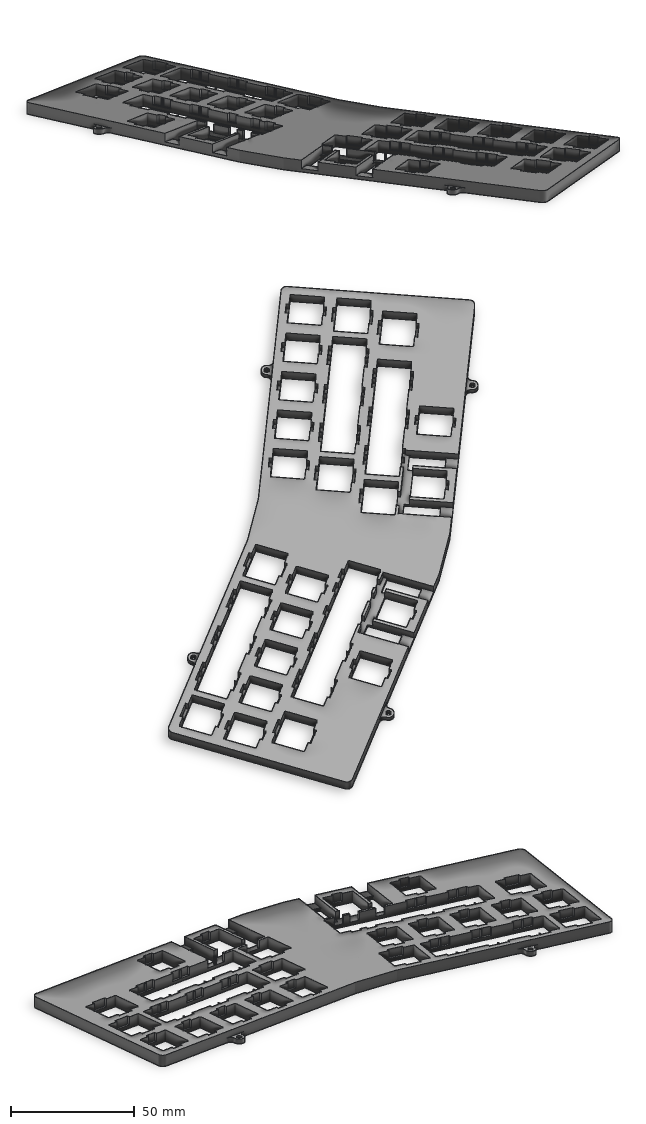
import cadquery as cq
import math

overall_length = 240.8
bend_angle = 14.0
thickness = 5.0
wing_width = 78.7
left_length = 119.7
bend_setback = 10.4
corner_radius = 2.5

key_pitch = 19.0
key_opening = 14.0
edge_to_key = 10.8

floor_height = 1.5
notch_width = 4.3
notch_depth = 1.2
opening_radius = 0.5

stabilizer_offset = 12.0
stabilizer_width = 7.2
slot_front = 5.0
slot_rear = 20.0

tab_radius = 2.29
tab_reach = 2.5
tab_height = 2.2
tab_flare = 2.2
tab_overlap = 2.5
tab_hole_diameter = 2.2
edge_to_tab = 39.7

left_rows = [
    [[0, 0.125], [1, 1.25, 2, 2.25, 3, 3.25], [4.125, 4.25]],
    [[0], [1], [2], [3], [4]],
    [[0.25, 0.375], [1.5, 1.75, 2.5, 2.75, 3.5, 4.125, 4.5]],
    [[2.375], [4]],
]
right_rows = [
    [[0], [1], [2], [3], [4]],
    [[0, 0.125], [1, 1.25, 2, 2.25, 3, 3.25], [4.125, 4.25]],
    [[0.25, 0.375], [1.5, 1.75, 2.5, 2.75, 3.5, 3.75], [4.625, 4.75]],
    [[2.625], [4.25]],
]
left_stabilized_key = 4
right_stabilized_key = 4.25

bend = math.radians(bend_angle)
bend_slope = math.tan(bend / 2)
right_corner_reach = overall_length - left_length - corner_radius
right_length = (right_corner_reach + corner_radius * math.sin(bend)) / math.cos(bend) + corner_radius
rear_row_place = wing_width / 2 + 1.5 * key_pitch
front_row_place = wing_width / 2 - 1.5 * key_pitch
recess_half_width = stabilizer_offset + stabilizer_width / 2
recess_rear = front_row_place + key_pitch - key_opening / 2 - notch_depth
block_half_width = stabilizer_offset - stabilizer_width / 2


def box(x_min, x_max, y_min, y_max, z_min=0.0):
    """Block between the given limits, reaching up to the top face."""
    size = (x_max - x_min, y_max - y_min, thickness - z_min)
    return cq.Workplane("XY").box(*size, centered=False).translate((x_min, y_min, z_min))


def to_right_wing(shape):
    """Move a shape from right-wing coordinates, with the bend at the origin, onto the wing."""
    return shape.rotate((0, 0, 0), (0, 0, 1), bend_angle).translate((left_length, 0, 0))


def rounded_opening(x_min, x_max, y_min, y_max):
    """Through cutter with rounded upright corners."""
    return box(x_min, x_max, y_min, y_max).edges("|Z").fillet(opening_radius)


def along_right_wing(start, distance):
    """Point at the given distance from start, parallel to the edges of the right wing."""
    return (start[0] + distance * math.cos(bend), start[1] + distance * math.sin(bend))


def bent_plate():
    """Two wings joined at the bend, with rounded ends and a flat facet across each bend corner."""
    front_bend = (left_length, 0)
    rear_bend = (left_length - wing_width * bend_slope, wing_width)
    front_right = along_right_wing(front_bend, right_length)
    rear_right = along_right_wing(rear_bend, right_length - wing_width * bend_slope)
    outline = [
        (0, 0),
        (front_bend[0] - bend_setback, 0),
        along_right_wing(front_bend, bend_setback),
        front_right,
        rear_right,
        along_right_wing(rear_bend, bend_setback),
        (rear_bend[0] - bend_setback, wing_width),
        (0, wing_width),
    ]
    plate = cq.Workplane("XY").polyline(outline).close().extrude(thickness)
    for x, y in [(0, 0), (0, wing_width), front_right, rear_right]:
        corner = cq.selectors.NearestToPointSelector((x, y, thickness / 2))
        plate = plate.edges(corner).fillet(corner_radius)
    return plate


def key_cutter(rows, end_place, direction):
    """All openings of a wing with their clip notches; positions run from end_place along direction."""
    cutter = cq.Workplane("XY")
    for row_index, row in enumerate(rows):
        y = rear_row_place - row_index * key_pitch
        for opening in row:
            places = [end_place + direction * position * key_pitch for position in opening]
            half = key_opening / 2
            cutter = cutter.union(rounded_opening(min(places) - half, max(places) + half, y - half, y + half))
            for x in places:
                cutter = cutter.union(box(x - notch_width / 2, x + notch_width / 2,
                                          y - half - notch_depth, y + half + notch_depth, floor_height))
    return cutter


def stabilizer_cutter(x):
    """Shallow recess with two through slots, leaving a full-height block around the key at x."""
    block_rear = front_row_place + key_opening / 2
    recess = box(x - recess_half_width, x + recess_half_width, 0, recess_rear, floor_height)
    recess = recess.cut(box(x - block_half_width, x + block_half_width, 0, block_rear))
    for side in (-1, 1):
        slot_x = x + side * stabilizer_offset
        slot_half = stabilizer_width / 2
        recess = recess.union(rounded_opening(slot_x - slot_half, slot_x + slot_half, slot_front, slot_rear))
    return recess


def mounting_tab(x, edge, outward):
    """Rounded tab with a hole on the edge line y = edge, pointing along +Y (outward = 1) or -Y (-1)."""
    base = tab_radius + tab_flare
    flare_middle = tab_flare * (1 - math.sqrt(0.5))
    tab = (
        cq.Workplane("XY")
        .moveTo(-base, -tab_overlap)
        .lineTo(-base, 0)
        .threePointArc((-tab_radius - flare_middle, flare_middle), (-tab_radius, tab_flare))
        .lineTo(-tab_radius, tab_reach)
        .threePointArc((0, tab_reach + tab_radius), (tab_radius, tab_reach))
        .lineTo(tab_radius, tab_flare)
        .threePointArc((tab_radius + flare_middle, flare_middle), (base, 0))
        .lineTo(base, -tab_overlap)
        .close()
        .extrude(tab_height)
    )
    hole = cq.Workplane("XY").center(0, tab_reach).circle(tab_hole_diameter / 2).extrude(tab_height)
    tab = tab.cut(hole)
    if outward < 0:
        tab = tab.mirror("XZ")
    return tab.translate((x, edge, 0))


left_end = edge_to_key
right_end = right_length - edge_to_key

plate = bent_plate()
plate = plate.cut(key_cutter(left_rows, left_end, 1))
plate = plate.cut(to_right_wing(key_cutter(right_rows, right_end, -1)))
plate = plate.cut(stabilizer_cutter(left_end + left_stabilized_key * key_pitch))
plate = plate.cut(to_right_wing(stabilizer_cutter(right_end - right_stabilized_key * key_pitch)))

for edge, outward in [(0, -1), (wing_width, 1)]:
    plate = plate.union(mounting_tab(edge_to_tab, edge, outward))
    plate = plate.union(to_right_wing(mounting_tab(right_length - edge_to_tab, edge, outward)))

result = plate